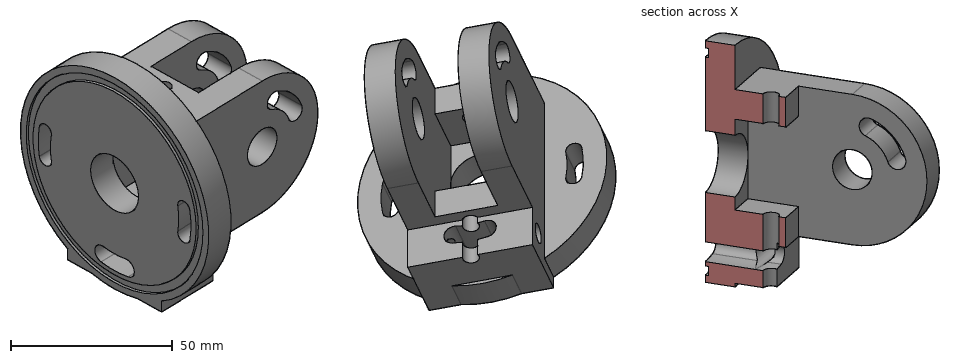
import cadquery as cq
import math

flange_diameter = 80.4
flange_thickness = 10.0
bore_diameter = 20.4
groove_inner_radius = 34.8
groove_outer_radius = 37.7
groove_depth = 1.0

flange_slot_pitch_radius = 30.0
flange_slot_half_angle = 10.0
side_slot_width = 5.2
bottom_slot_width = 6.4

clevis_gap = 20.2
arm_thickness = 10.0
clevis_width = clevis_gap + 2 * arm_thickness
clevis_length = 70.0
arm_end_radius = 25.0
clevis_axis_z = 0.5
clevis_floor_y = 27.0
pivot_y = clevis_length - arm_end_radius
pivot_hole_diameter = 13.2

chamber_wall = 10.0
chamber_height = 2 * (arm_end_radius - chamber_wall)

arm_slot_pitch_radius = 15.8
arm_slot_mid_angle = 45.0
arm_slot_half_angle = 25.0
arm_slot_width = 6.2

foot_bottom_z = -39.0
foot_length = 23.0
foot_hole_y = 16.7
foot_hole_z = -30.0
foot_hole_diameter = 6.4

root_hole_y = 22.0
root_hole_diameter = 5.2


def y_cylinder(radius, length):
    """Cylinder along +Y, starting at the flange front face."""
    return cq.Workplane("XZ").circle(radius).extrude(-length)


def x_cylinder(y, z, diameter):
    """Cylinder along X across the full clevis width."""
    return (
        cq.Workplane("YZ").center(y, z).circle(diameter / 2)
        .extrude(clevis_width / 2, both=True)
    )


def arc_slot(plane, pitch_radius, width, mid_angle, half_angle):
    """Closed outline of a round-ended slot bent about the plane's origin."""
    def polar(radius, angle):
        angle_rad = math.radians(angle)
        return (radius * math.cos(angle_rad), radius * math.sin(angle_rad))

    inner = pitch_radius - width / 2
    outer = pitch_radius + width / 2
    start = mid_angle - half_angle
    end = mid_angle + half_angle

    def cap_tip(angle, direction):
        centre_u, centre_v = polar(pitch_radius, angle)
        reach_u, reach_v = polar(width / 2, angle + direction * 90)
        return (centre_u + reach_u, centre_v + reach_v)

    return (
        plane.moveTo(*polar(outer, start))
        .threePointArc(polar(outer, mid_angle), polar(outer, end))
        .threePointArc(cap_tip(end, 1), polar(inner, end))
        .threePointArc(polar(inner, mid_angle), polar(inner, start))
        .threePointArc(cap_tip(start, -1), polar(outer, start))
        .close()
    )


def make_gap_block(start_y, end_y, height):
    """Block as wide as the clevis gap, centred on the clevis axis height."""
    length = end_y - start_y
    return (
        cq.Workplane("XY").box(clevis_gap, length, height)
        .translate((0, start_y + length / 2, clevis_axis_z))
    )


def make_flange():
    return y_cylinder(flange_diameter / 2, flange_thickness)


def make_clevis():
    arm_height = 2 * arm_end_radius
    block = (
        cq.Workplane("YZ").center(pivot_y / 2, clevis_axis_z).rect(pivot_y, arm_height)
        .extrude(clevis_width / 2, both=True)
    )
    rounded_end = x_cylinder(pivot_y, clevis_axis_z, arm_height)
    gap = make_gap_block(clevis_floor_y, clevis_length, arm_height)
    return block.union(rounded_end).cut(gap)


def make_chamber():
    return make_gap_block(flange_thickness, clevis_floor_y, chamber_height)


def make_foot():
    height = clevis_axis_z - foot_bottom_z
    return (
        cq.Workplane("XY").workplane(offset=foot_bottom_z)
        .center(0, foot_length / 2).rect(clevis_width, foot_length).extrude(height)
    )


def make_groove():
    return y_cylinder(groove_outer_radius, groove_depth).cut(
        y_cylinder(groove_inner_radius, groove_depth)
    )


def make_flange_slot(width, mid_angle):
    """Slot running back through the flange and, where it lies behind, the foot."""
    outline = arc_slot(
        cq.Workplane("XZ"), flange_slot_pitch_radius, width, mid_angle, flange_slot_half_angle
    )
    return outline.extrude(-foot_length)


def make_arm_slot():
    outline = arc_slot(
        cq.Workplane("YZ", origin=(0, pivot_y, clevis_axis_z)),
        arm_slot_pitch_radius, arm_slot_width, arm_slot_mid_angle, arm_slot_half_angle,
    )
    return outline.extrude(clevis_width / 2, both=True)


def make_root_hole():
    return (
        cq.Workplane("XY").center(0, root_hole_y).circle(root_hole_diameter / 2)
        .extrude(flange_diameter / 2, both=True)
    )


result = make_flange().union(make_clevis()).union(make_foot())
result = result.cut(make_chamber())
result = result.cut(y_cylinder(bore_diameter / 2, flange_thickness))
result = result.cut(make_groove())
for side_angle in (0, 180):
    result = result.cut(make_flange_slot(side_slot_width, side_angle))
result = result.cut(make_flange_slot(bottom_slot_width, -90))
result = result.cut(x_cylinder(pivot_y, clevis_axis_z, pivot_hole_diameter))
result = result.cut(make_arm_slot())
result = result.cut(x_cylinder(foot_hole_y, foot_hole_z, foot_hole_diameter))
result = result.cut(make_root_hole())